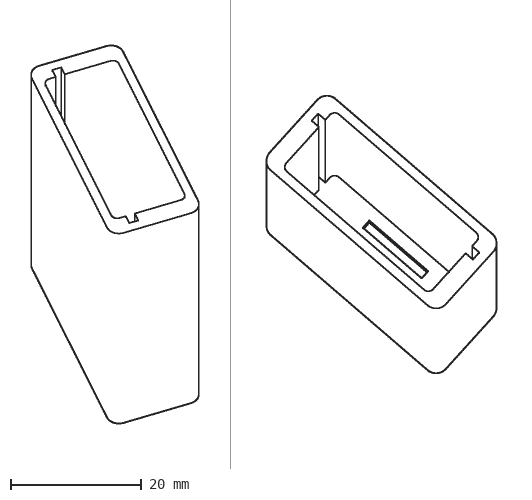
import cadquery as cq

width = 36.0
depth = 15.0
height = 45.0
outer_radius = 2.0

end_wall = 3.0
side_wall = 1.5
floor_thickness = 1.5
inner_radius = 1.0

groove_depth = 1.5
slot_thickness = 1.5
slot_offset_y = -3.25

opening_width = 12.0

cavity_width = width - 2 * end_wall
cavity_depth = depth - 2 * side_wall
slot_width = cavity_width + 2 * groove_depth


def upright_block(size_x, size_y, bottom, center_y=0):
    """Block centered on X that reaches from the bottom level to the top of the part."""
    return (
        cq.Workplane("XY", origin=(0, center_y, bottom))
        .rect(size_x, size_y)
        .extrude(height - bottom)
    )


body = upright_block(width, depth, 0).edges("|Z").fillet(outer_radius)
cavity = upright_block(cavity_width, cavity_depth, floor_thickness).edges("|Z").fillet(inner_radius)
slot = upright_block(slot_width, slot_thickness, floor_thickness, slot_offset_y)
opening = upright_block(opening_width, slot_thickness, 0, slot_offset_y)

result = body.cut(cavity).cut(slot).cut(opening)